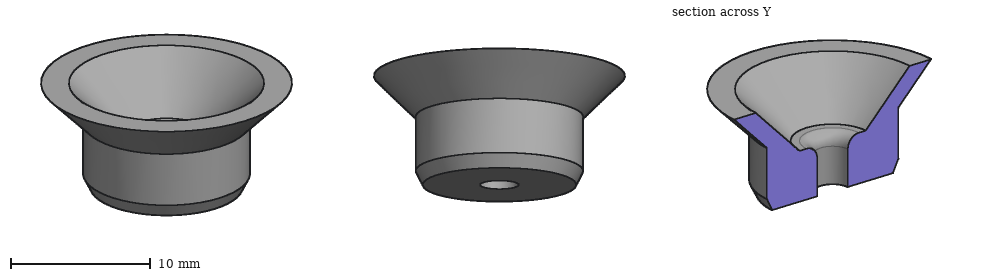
import cadquery as cq
import math

flange_diameter = 18.0
body_diameter = 12.0
bore_diameter = 2.75
cup_floor_diameter = 6.0
total_height = 8.0
flare_height = 3.0
cup_depth = 4.0
bottom_taper_height = 1.0
bottom_taper_inset = 0.5
bore_mouth_radius = 1.0

flange_radius = flange_diameter / 2
body_radius = body_diameter / 2
bore_radius = bore_diameter / 2
cup_floor_radius = cup_floor_diameter / 2
cup_rim_radius = cup_floor_radius + cup_depth
base_radius = body_radius - bottom_taper_inset
flare_start = total_height - flare_height
cup_floor = total_height - cup_depth

mouth_mid_offset = bore_mouth_radius * (1 - math.sqrt(0.5))
mouth_mid = (bore_radius + mouth_mid_offset, cup_floor - mouth_mid_offset)

half_section = (
    cq.Workplane("XZ")
    .moveTo(bore_radius, 0)
    .lineTo(base_radius, 0)
    .lineTo(body_radius, bottom_taper_height)
    .lineTo(body_radius, flare_start)
    .lineTo(flange_radius, total_height)
    .lineTo(cup_rim_radius, total_height)
    .lineTo(cup_floor_radius, cup_floor)
    .lineTo(bore_radius + bore_mouth_radius, cup_floor)
    .threePointArc(mouth_mid, (bore_radius, cup_floor - bore_mouth_radius))
    .close()
)

result = half_section.revolve(360, (0, 0, 0), (0, 1, 0))